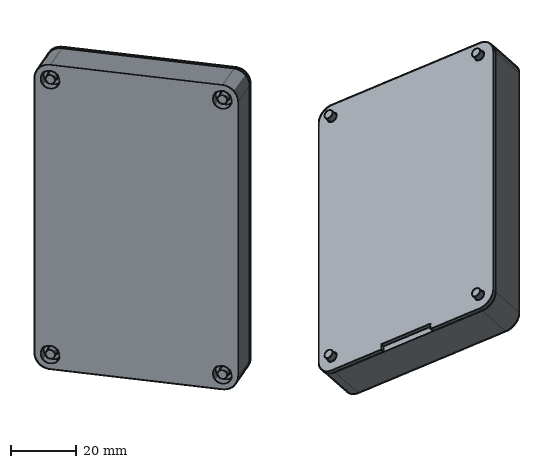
import cadquery as cq

WIDTH = 65.1
TOTAL_HEIGHT = 102.9
TOTAL_DEPTH = 16.3
CORNER_RADIUS = 5.0

LID_DROP = 0.1
BODY_HEIGHT = TOTAL_HEIGHT - LID_DROP
HOUSING_Z = LID_DROP / 2
LID_Z = -LID_DROP / 2

PIN_PROTRUSION = 2.0
LID_THICKNESS = 1.3
LID_GAP = 0.2
LID_FRONT = TOTAL_DEPTH - PIN_PROTRUSION - LID_THICKNESS
HOUSING_DEPTH = LID_FRONT - LID_GAP

PIN_DIAMETER = 3.0
PIN_RECESS = 0.2
CLEARANCE_DIAMETER = 3.4
COUNTERBORE_DIAMETER = 6.0
COUNTERBORE_DEPTH = 3.3
PIN_INSET = CORNER_RADIUS
PIN_X = WIDTH / 2 - PIN_INSET
PIN_Z = TOTAL_HEIGHT / 2 - PIN_INSET
PIN_CENTRES = [(x, z) for x in (-PIN_X, PIN_X) for z in (-PIN_Z, PIN_Z)]

NOTCH_WIDTH = 18.4
NOTCH_HEIGHT = 2.1


def plane_at(y, z=0):
    """XZ plane whose normal is +Y, so that extrusions run toward the back."""
    return cq.Workplane(cq.Plane(origin=(0, y, z), xDir=(1, 0, 0), normal=(0, 1, 0)))


def rounded_slab(y, z, thickness):
    """Slab with the rounded case outline, centred at height z and starting at depth y."""
    return plane_at(y, z).rect(WIDTH, BODY_HEIGHT).extrude(thickness).edges("|Y").fillet(CORNER_RADIUS)


def corner_cylinder(centre, diameter, y, length):
    """Cylinder along Y at one pin centre, starting at depth y."""
    x, z = centre
    return plane_at(y, z).center(x, 0).circle(diameter / 2).extrude(length)


def make_housing():
    """Thick front block with a counterbored clearance hole in each corner."""
    housing = rounded_slab(0, HOUSING_Z, HOUSING_DEPTH)
    for centre in PIN_CENTRES:
        housing = housing.cut(corner_cylinder(centre, CLEARANCE_DIAMETER, 0, HOUSING_DEPTH))
        housing = housing.cut(corner_cylinder(centre, COUNTERBORE_DIAMETER, 0, COUNTERBORE_DEPTH))
    return housing


def make_lid():
    """Thin back plate with a clearance hole in each corner and a notched bottom edge."""
    lid = rounded_slab(LID_FRONT, LID_Z, LID_THICKNESS)
    for centre in PIN_CENTRES:
        lid = lid.cut(corner_cylinder(centre, CLEARANCE_DIAMETER, LID_FRONT, LID_THICKNESS))
    bottom_edge_z = LID_Z - BODY_HEIGHT / 2
    notch = plane_at(LID_FRONT, bottom_edge_z).rect(NOTCH_WIDTH, 2 * NOTCH_HEIGHT).extrude(LID_THICKNESS)
    return lid.cut(notch)


def make_pin(centre):
    """Plain pin, slightly recessed at the front and standing proud of the lid at the back."""
    return corner_cylinder(centre, PIN_DIAMETER, PIN_RECESS, TOTAL_DEPTH - PIN_RECESS)


housing = make_housing()
lid = make_lid()
pins = [make_pin(centre) for centre in PIN_CENTRES]

result = cq.Compound.makeCompound([housing.val(), lid.val(), *[pin.val() for pin in pins]])